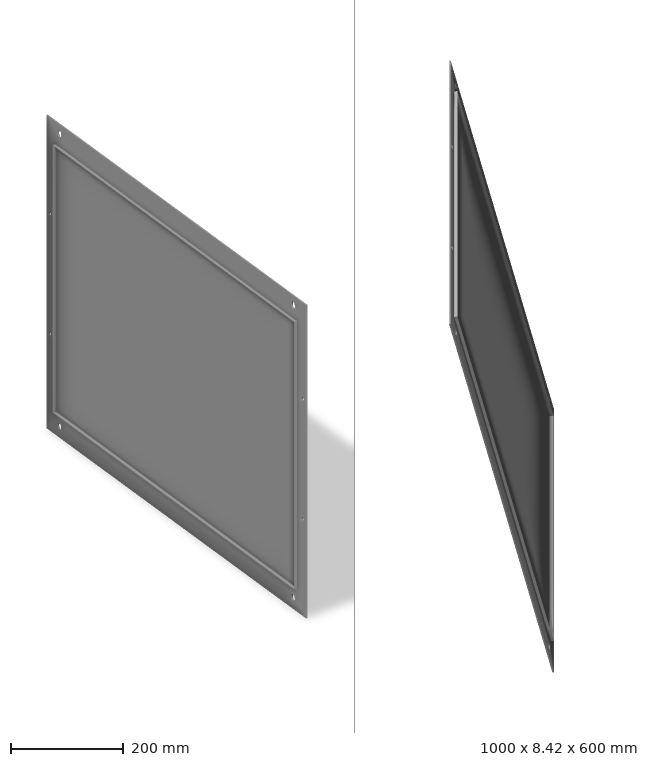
import cadquery as cq

sheet_thickness = 1.4
plate_width = 1000.02
plate_height = 600.02
plate_thickness = 2 * sheet_thickness

total_depth = 8.42
rim_width = 931.0
rim_height = 513.2
rim_wall = sheet_thickness
floor_thickness = sheet_thickness
recess_width = rim_width - 2 * rim_wall
recess_height = rim_height - 2 * rim_wall
recess_depth = total_depth - floor_thickness

corner_hole_diameter = 13.5
corner_hole_spacing_x = 900.0
corner_hole_spacing_z = 560.0
corner_hole_shift_z = 1.4

side_hole_diameter = 8.0
side_hole_spacing_x = 972.0
side_hole_spacing_z = 230.0


def slab(width, height, depth, y_back=0):
    """Rectangular slab centred on the Y axis, reaching from y_back toward -Y."""
    return cq.Workplane("XZ", origin=(0, y_back, 0)).rect(width, height).extrude(depth)


def hole_cutters(diameter, spacing_x, spacing_z, shift_z=0):
    """Four cylinders through the plate, at the corners of a rectangle raised by shift_z."""
    layout = cq.Workplane("XZ", origin=(0, 0, shift_z))
    centres = layout.rect(spacing_x, spacing_z, forConstruction=True).vertices()
    return centres.circle(diameter / 2).extrude(plate_thickness)


plate = slab(plate_width, plate_height, plate_thickness)
rim_block = slab(rim_width, rim_height, total_depth)
recess = slab(recess_width, recess_height, recess_depth, -floor_thickness)
corner_holes = hole_cutters(
    corner_hole_diameter, corner_hole_spacing_x, corner_hole_spacing_z, corner_hole_shift_z
)
side_holes = hole_cutters(side_hole_diameter, side_hole_spacing_x, side_hole_spacing_z)

result = plate.union(rim_block).cut(recess).cut(corner_holes).cut(side_holes)